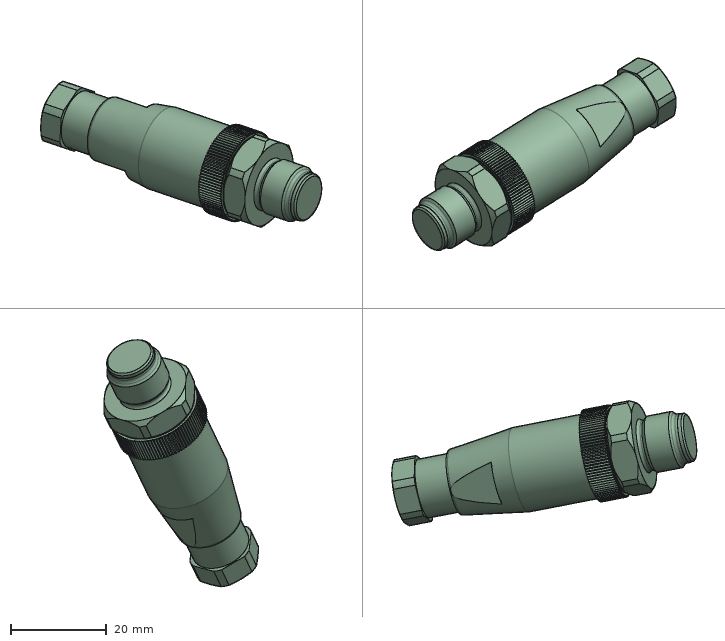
import cadquery as cq
import math

LENGTH = 63.1

CABLE_NUT_LENGTH = 5.0
CABLE_NUT_RADIUS = 7.1
CABLE_NUT_ACROSS_FLATS = 13.1
CABLE_NUT_FACE_RADIUS = 6.5
CABLE_NUT_CHAMFER_LENGTH = 0.25
SHANK_RADIUS = 6.25

BODY_START = 12.0
BODY_LIP_LENGTH = 0.4
BODY_FACE_RADIUS = 6.95
TAPER_START_RADIUS = 7.05
TAPER_END = 26.25
BODY_RADIUS = 18.0 / 2

GRIP_DISTANCE = 7.0
GRIP_END = 22.1

KNURL_START = 41.9
KNURL_END = 47.45
KNURL_RADIUS = 19.6 / 2
KNURL_DEPTH = 0.3
KNURL_TEETH = 100
KNURL_CHAMFER = 0.2

NUT_START = 47.7
NUT_END = 53.05
NUT_RADIUS = 20.0 / 2
NUT_ACROSS_FLATS = 18.05
NUT_CHAMFER = 0.95

COLLAR_RADIUS = 5.75
NECK_RADIUS = 5.35
NECK_START = 53.8
NECK_END = 54.2
THREAD_START = 54.95
THREAD_RADIUS = 6.0
RUNOUT_ANGLE = math.radians(45)
RUNOUT_FILLET = 1.1
TIP_START = 61.4
TIP_RADIUS = 5.25
TIP_STEP = 61.95
TIP_STEP_RADIUS = 10.3 / 2
TIP_CHAMFER = 0.4

RUNOUT_FOOT_X = TIP_START - RUNOUT_FILLET * math.sin(RUNOUT_ANGLE)
RUNOUT_FOOT_RADIUS = TIP_RADIUS + RUNOUT_FILLET * (1 - math.cos(RUNOUT_ANGLE))
THREAD_END = RUNOUT_FOOT_X - (THREAD_RADIUS - RUNOUT_FOOT_RADIUS) / math.tan(RUNOUT_ANGLE)

HEX_SIDES = 6
HEX_TURN = 5.0
GRIP_TURN = -(90 - 360 / HEX_SIDES) - HEX_TURN


def revolve_about_x(profile):
    """Revolve a closed (x, radius) profile about the X axis."""
    return profile.close().revolve(360, (0, 0, 0), (1, 0, 0))


def hex_bar(start, end, across_flats):
    """Hexagonal bar along X with one face turned HEX_TURN upward from -Y."""
    corner_diameter = across_flats / math.cos(math.pi / HEX_SIDES)
    bar = cq.Workplane("YZ").workplane(offset=start).polygon(HEX_SIDES, corner_diameter).extrude(end - start)
    face_turn = 180 / HEX_SIDES - HEX_TURN
    return bar.rotate((0, 0, 0), (1, 0, 0), face_turn)


def sagging_point(start, end):
    """Middle of a concave arc that drops from start and arrives at end parallel to X."""
    run = end[0] - start[0]
    drop = start[1] - end[1]
    radius = (run ** 2 + drop ** 2) / (2 * drop)
    half_angle = math.asin(run / radius) / 2
    x = end[0] - radius * math.sin(half_angle)
    return (x, end[1] + radius * (1 - math.cos(half_angle)))


def make_cable_nut():
    blank = revolve_about_x(
        cq.Workplane("XY")
        .lineTo(0, CABLE_NUT_FACE_RADIUS)
        .lineTo(CABLE_NUT_CHAMFER_LENGTH, CABLE_NUT_RADIUS)
        .lineTo(CABLE_NUT_LENGTH, CABLE_NUT_RADIUS)
        .lineTo(CABLE_NUT_LENGTH, 0)
    )
    return blank.intersect(hex_bar(0, CABLE_NUT_LENGTH, CABLE_NUT_ACROSS_FLATS))


def make_body():
    """Shank, tapered sleeve and the cylinder that runs up to the coupling nut."""
    return revolve_about_x(
        cq.Workplane("XY")
        .moveTo(CABLE_NUT_LENGTH, 0)
        .lineTo(CABLE_NUT_LENGTH, SHANK_RADIUS)
        .lineTo(BODY_START, SHANK_RADIUS)
        .lineTo(BODY_START, BODY_FACE_RADIUS)
        .lineTo(BODY_START + BODY_LIP_LENGTH, TAPER_START_RADIUS)
        .lineTo(TAPER_END, BODY_RADIUS)
        .lineTo(NUT_START, BODY_RADIUS)
        .lineTo(NUT_START, 0)
    )


def cut_grips(body):
    """Cut two opposite flats, each ending in a wall square to X."""
    length = GRIP_END - BODY_START
    for turn in (0, 180):
        cutter = (
            cq.Workplane("XY")
            .box(length, 2 * BODY_RADIUS, BODY_RADIUS, centered=(False, True, False))
            .translate((BODY_START, 0, GRIP_DISTANCE))
            .rotate((0, 0, 0), (1, 0, 0), GRIP_TURN + turn)
        )
        body = body.cut(cutter)
    return body


def make_knurl():
    """Ring of straight pointed teeth, chamfered on the side of the coupling nut."""
    root_radius = KNURL_RADIUS - KNURL_DEPTH
    points = []
    for step in range(2 * KNURL_TEETH):
        radius = KNURL_RADIUS if step % 2 == 0 else root_radius
        angle = math.pi * step / KNURL_TEETH
        points.append((radius * math.cos(angle), radius * math.sin(angle)))
    outline = cq.Workplane("YZ").workplane(offset=KNURL_START).polyline(points).close()
    teeth = outline.extrude(KNURL_END - KNURL_START)
    blank = revolve_about_x(
        cq.Workplane("XY")
        .moveTo(KNURL_START, 0)
        .lineTo(KNURL_START, KNURL_RADIUS)
        .lineTo(KNURL_END - KNURL_CHAMFER, KNURL_RADIUS)
        .lineTo(KNURL_END, KNURL_RADIUS - KNURL_CHAMFER)
        .lineTo(KNURL_END, 0)
    )
    return teeth.intersect(blank)


def make_coupling_nut():
    end_radius = NUT_RADIUS - NUT_CHAMFER
    blank = revolve_about_x(
        cq.Workplane("XY")
        .moveTo(NUT_START, 0)
        .lineTo(NUT_START, end_radius)
        .lineTo(NUT_START + NUT_CHAMFER, NUT_RADIUS)
        .lineTo(NUT_END - NUT_CHAMFER, NUT_RADIUS)
        .lineTo(NUT_END, end_radius)
        .lineTo(NUT_END, 0)
    )
    return blank.intersect(hex_bar(NUT_START, NUT_END, NUT_ACROSS_FLATS))


def make_threaded_end():
    """Neck, plain thread cylinder and stepped tip."""
    collar = (NUT_END, COLLAR_RADIUS)
    neck = (NECK_START, NECK_RADIUS)
    runout = (RUNOUT_FOOT_X, RUNOUT_FOOT_RADIUS)
    tip = (TIP_START, TIP_RADIUS)
    return revolve_about_x(
        cq.Workplane("XY")
        .moveTo(NUT_END, 0)
        .lineTo(*collar)
        .threePointArc(sagging_point(collar, neck), neck)
        .lineTo(NECK_END, NECK_RADIUS)
        .lineTo(THREAD_START, THREAD_RADIUS)
        .lineTo(THREAD_END, THREAD_RADIUS)
        .lineTo(*runout)
        .threePointArc(sagging_point(runout, tip), tip)
        .lineTo(TIP_STEP, TIP_RADIUS)
        .lineTo(TIP_STEP, TIP_STEP_RADIUS)
        .lineTo(LENGTH - TIP_CHAMFER, TIP_STEP_RADIUS)
        .lineTo(LENGTH, TIP_STEP_RADIUS - TIP_CHAMFER)
        .lineTo(LENGTH, 0)
    )


result = (
    cut_grips(make_body())
    .union(make_cable_nut())
    .union(make_knurl())
    .union(make_coupling_nut())
    .union(make_threaded_end())
)